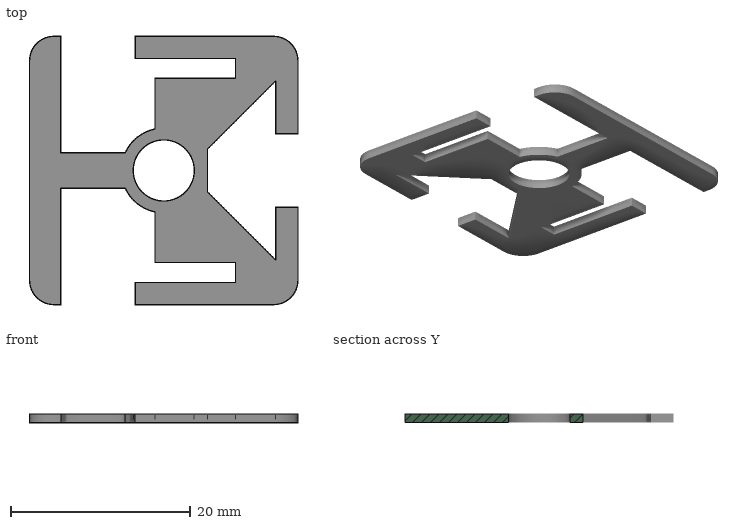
import cadquery as cq

SIDE = 30.0
THICKNESS = 1.0
CORNER_RADIUS = 2.75
HALF = SIDE / 2

BAR_WIDTH = 3.5
STEM_WIDTH = 4.0

HOLE_DIAMETER = 6.8
HUB_DIAMETER = 9.5

ARM_WIDTH = 2.5
ARM_START_X = -3.2
RIGHT_GAP = 8.2

BODY_LEFT_X = -1.0
SLOT_WIDTH = 2.2
SLOT_END_X = 8.0

NOTCH_FLOOR_X = 4.9
NOTCH_FLOOR_LENGTH = 4.8


def plate_block(x_min, x_max, y_min, y_max):
    """Full-thickness rectangular block between the given limits."""
    return (
        cq.Workplane("XY")
        .center((x_min + x_max) / 2, (y_min + y_max) / 2)
        .rect(x_max - x_min, y_max - y_min)
        .extrude(THICKNESS)
    )


def rounded_plate():
    """Square plate with rounded corners."""
    return (
        cq.Workplane("XY")
        .rect(SIDE, SIDE)
        .extrude(THICKNESS)
        .edges("|Z")
        .fillet(CORNER_RADIUS)
    )


def side_opening(side):
    """L-shaped opening above (side = 1) or below (side = -1) the stem."""
    bar_x = -HALF + BAR_WIDTH
    arm_y = HALF - ARM_WIDTH
    points = [
        (bar_x, STEM_WIDTH / 2),
        (BODY_LEFT_X, STEM_WIDTH / 2),
        (BODY_LEFT_X, arm_y - SLOT_WIDTH),
        (SLOT_END_X, arm_y - SLOT_WIDTH),
        (SLOT_END_X, arm_y),
        (ARM_START_X, arm_y),
        (ARM_START_X, HALF),
        (bar_x, HALF),
    ]
    outline = [(x, side * y) for x, y in points]
    return cq.Workplane("XY").polyline(outline).close().extrude(THICKNESS)


def notch():
    """Notch with 45-degree flanks between the hub and the right arms."""
    arm_x = HALF - ARM_WIDTH
    floor_y = NOTCH_FLOOR_LENGTH / 2
    tip_y = floor_y + arm_x - NOTCH_FLOOR_X
    outline = [
        (NOTCH_FLOOR_X, -floor_y),
        (arm_x, -tip_y),
        (arm_x, tip_y),
        (NOTCH_FLOOR_X, floor_y),
    ]
    return cq.Workplane("XY").polyline(outline).close().extrude(THICKNESS)


def right_gap():
    """Gap between the ends of the two right-hand arms."""
    return plate_block(HALF - ARM_WIDTH, HALF, -RIGHT_GAP / 2, RIGHT_GAP / 2)


def cylinder(diameter):
    """Full-thickness cylinder on the plate centre."""
    return cq.Workplane("XY").circle(diameter / 2).extrude(THICKNESS)


result = rounded_plate()
for side in (1, -1):
    result = result.cut(side_opening(side))
result = result.cut(notch()).cut(right_gap())
result = result.union(cylinder(HUB_DIAMETER)).cut(cylinder(HOLE_DIAMETER))